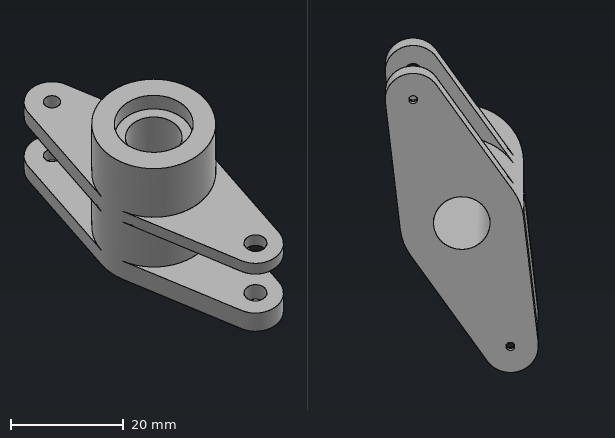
import cadquery as cq
import math

hub_diameter = 22.0
hub_height = 30
bore_diameter = 10.0
counterbore_diameter = 14.0
counterbore_depth = 3.5

arm_reach = 30
tip_radius = 5.0
arm_gap = 10.0
upper_arm_top = 17.5
left_lower_thickness = 3.7
right_lower_thickness = 4.75

left_pin_diameter = 3
right_pin_diameter = 4.0
pilot_diameter = 1.5
pin_floor_thickness = 1.0

hub_radius = hub_diameter / 2
pin_offset = arm_reach - tip_radius


def cylinder(diameter, x, bottom, top):
    """Vertical cylinder centred on the X axis."""
    return cq.Workplane("XY", origin=(x, 0, bottom)).circle(diameter / 2).extrude(top - bottom)


def arm(side, bottom, top):
    """Flat arm whose straight edges are tangent to both the hub and the rounded tip."""
    slope_sine = (hub_radius - tip_radius) / pin_offset
    slope_cosine = math.sqrt(1 - slope_sine**2)
    hub_x = side * hub_radius * slope_sine
    hub_y = hub_radius * slope_cosine
    tip_x = side * (pin_offset + tip_radius * slope_sine)
    tip_y = tip_radius * slope_cosine
    return (
        cq.Workplane("XY", origin=(0, 0, bottom))
        .moveTo(0, hub_y)
        .lineTo(hub_x, hub_y)
        .lineTo(tip_x, tip_y)
        .threePointArc((side * arm_reach, 0), (tip_x, -tip_y))
        .lineTo(hub_x, -hub_y)
        .lineTo(0, -hub_y)
        .close()
        .extrude(top - bottom)
    )


result = cylinder(hub_diameter, 0, 0, hub_height)

for side, lower_thickness, pin_diameter in (
    (-1, left_lower_thickness, left_pin_diameter),
    (1, right_lower_thickness, right_pin_diameter),
):
    pin_x = side * pin_offset
    result = result.union(arm(side, 0, lower_thickness))
    result = result.union(arm(side, lower_thickness + arm_gap, upper_arm_top))
    result = result.cut(cylinder(pin_diameter, pin_x, pin_floor_thickness, upper_arm_top))
    result = result.cut(cylinder(pilot_diameter, pin_x, 0, pin_floor_thickness))

result = result.cut(cylinder(bore_diameter, 0, 0, hub_height))
result = result.cut(cylinder(counterbore_diameter, 0, hub_height - counterbore_depth, hub_height))